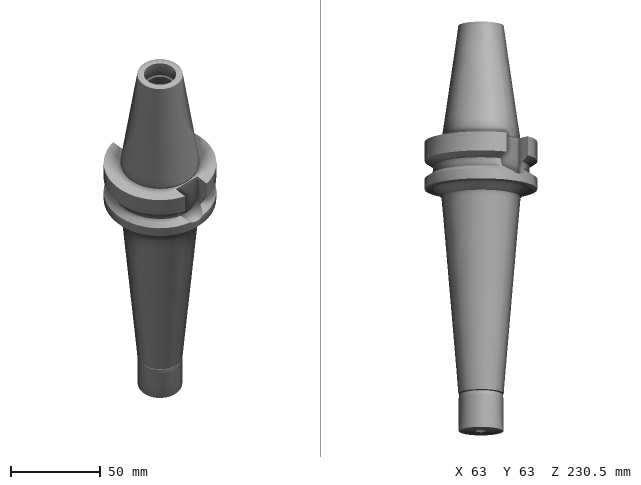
import cadquery as cq

TOTAL_LENGTH = 230.5
FLANGE_TOP_Z = 164.3
BODY_BOTTOM_Z = 21.5

SHANK_TOP_RADIUS = 12.7
SHANK_BASE_RADIUS = 22.1
RELIEF_HEIGHT = 1.0
RELIEF_RADIUS = 22.0

FLANGE_DIAMETER = 63.0
FLANGE_RADIUS = FLANGE_DIAMETER / 2
GROOVE_RADIUS = 27.0
UPPER_RIM_DEPTH = 10.8
GROOVE_START_DEPTH = 13.8
GROOVE_END_DEPTH = 18.0
LOWER_RIM_DEPTH = 21.0
FLANGE_DEPTH = 26.7
CHAMFER_DEPTH = 31.3
CHAMFER_RADIUS = 27.2

NOSE_TOP_RADIUS = 22.1
NOSE_BOTTOM_RADIUS = 12.7

KEYWAY_WIDTH = 16.1
KEYWAY_FLOOR_X = 22.3
KEYWAY_DEPTH = 22.3

MOUTH_RADIUS = 9.0
MOUTH_DEPTH = 8.8
THREAD_RADIUS = 7.5
THREAD_DEPTH = 30.0
COOLANT_RADIUS = 4.0

NUT_RADIUS = 12.5
NUT_TOP_RADIUS = 12.2
NUT_HEIGHT = 20.7
NUT_EDGE_HEIGHT = 2.0
SPIGOT_RADIUS = 10.4
SPIGOT_INSERTION = 9.2
NUT_BORE_RADIUS = 3.2

SPIGOT_TOP_Z = BODY_BOTTOM_Z + SPIGOT_INSERTION


def cylinder(radius, bottom, top):
    """Cylinder on the Z axis between two heights."""
    return cq.Workplane("XY").workplane(offset=bottom).circle(radius).extrude(top - bottom)


def revolve_profile(points):
    """Solid of revolution about Z from an (radius, height) outline."""
    return cq.Workplane("XZ").polyline(points).close().revolve(360, (0, 0), (0, 1))


def body_blank():
    """Turned outside of the holder: shank, grooved flange and nose."""
    return revolve_profile([
        (0, TOTAL_LENGTH),
        (SHANK_TOP_RADIUS, TOTAL_LENGTH),
        (SHANK_BASE_RADIUS, FLANGE_TOP_Z + RELIEF_HEIGHT),
        (RELIEF_RADIUS, FLANGE_TOP_Z),
        (FLANGE_RADIUS, FLANGE_TOP_Z),
        (FLANGE_RADIUS, FLANGE_TOP_Z - UPPER_RIM_DEPTH),
        (GROOVE_RADIUS, FLANGE_TOP_Z - GROOVE_START_DEPTH),
        (GROOVE_RADIUS, FLANGE_TOP_Z - GROOVE_END_DEPTH),
        (FLANGE_RADIUS, FLANGE_TOP_Z - LOWER_RIM_DEPTH),
        (FLANGE_RADIUS, FLANGE_TOP_Z - FLANGE_DEPTH),
        (CHAMFER_RADIUS, FLANGE_TOP_Z - FLANGE_DEPTH),
        (NOSE_TOP_RADIUS, FLANGE_TOP_Z - CHAMFER_DEPTH),
        (NOSE_BOTTOM_RADIUS, BODY_BOTTOM_Z),
        (0, BODY_BOTTOM_Z),
    ])


def keyway_cutter(side):
    """Round-bottomed keyway open at the flange top; side is +1 or -1 along X."""
    half_width = KEYWAY_WIDTH / 2
    bottom = FLANGE_TOP_Z - KEYWAY_DEPTH
    arc_start = bottom + half_width
    return (
        cq.Workplane("YZ")
        .workplane(offset=side * KEYWAY_FLOOR_X)
        .moveTo(-half_width, FLANGE_TOP_Z)
        .lineTo(-half_width, arc_start)
        .threePointArc((0, bottom), (half_width, arc_start))
        .lineTo(half_width, FLANGE_TOP_Z)
        .close()
        .extrude(side * FLANGE_RADIUS)
    )


def make_body():
    """Holder body with keyways, stepped bore and the seat for the nut's spigot."""
    body = body_blank()
    for side in (-1, 1):
        body = body.cut(keyway_cutter(side))
    body = body.cut(cylinder(MOUTH_RADIUS, TOTAL_LENGTH - MOUTH_DEPTH, TOTAL_LENGTH))
    body = body.cut(cylinder(THREAD_RADIUS, TOTAL_LENGTH - THREAD_DEPTH, TOTAL_LENGTH))
    body = body.cut(cylinder(COOLANT_RADIUS, BODY_BOTTOM_Z, TOTAL_LENGTH))
    return body.cut(cylinder(SPIGOT_RADIUS, BODY_BOTTOM_Z, SPIGOT_TOP_Z))


def make_nut():
    """Bored nut with a tapered upper edge and a spigot."""
    nut = revolve_profile([
        (0, 0),
        (NUT_RADIUS, 0),
        (NUT_RADIUS, NUT_HEIGHT - NUT_EDGE_HEIGHT),
        (NUT_TOP_RADIUS, NUT_HEIGHT),
        (SPIGOT_RADIUS, NUT_HEIGHT),
        (SPIGOT_RADIUS, SPIGOT_TOP_Z),
        (0, SPIGOT_TOP_Z),
    ])
    return nut.cut(cylinder(NUT_BORE_RADIUS, 0, SPIGOT_TOP_Z))


body = make_body()
nut = make_nut()

result = cq.Compound.makeCompound([body.val(), nut.val()])